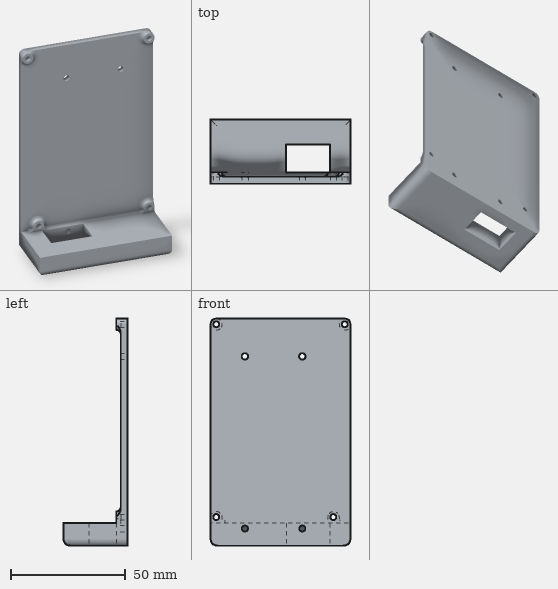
import cadquery as cq
import math

width = 61.0
height = 99.0
plate_thickness = 3.0
foot_depth = 28.0
foot_height = 10.0
top_corner_radius = 2.5
bottom_corner_radius = 3.0
foot_back_edge_radius = 3.0
foot_seam_radius = 1.0

standoff_top_y = 5.0
standoff_radius = 2.5
standoff_flare = standoff_top_y - plate_thickness
board_hole_diameter = 2.5
left_x = standoff_radius
upper_right_x = width - standoff_radius
lower_right_x = 53.5
upper_z = height - standoff_radius
lower_z = foot_height + standoff_radius
upper_standoffs = [(left_x, upper_z), (upper_right_x, upper_z)]
lower_standoffs = [(left_x, lower_z), (lower_right_x, lower_z)]

mount_hole_diameter = 2.7
mount_hole_x = (15.0, 40.0)
mount_hole_z = (7.5, 82.5)
mount_hole_depth = standoff_top_y

window_x = (33.0, 52.0)
window_y = (standoff_top_y, 17.0)


def block(x_range, y_range, z_range):
    """Box spanning the given ranges."""
    size = [end - start for start, end in (x_range, y_range, z_range)]
    corner = (x_range[0], y_range[0], z_range[0])
    return cq.Workplane("XY").box(*size, centered=False).translate(corner)


def rod(x, z, radius, y_start, y_end):
    """Cylinder along Y."""
    axis_start = cq.Vector(x, y_start, z)
    solid = cq.Solid.makeCylinder(radius, y_end - y_start, axis_start, cq.Vector(0, 1, 0))
    return cq.Workplane(obj=solid)


def make_envelope():
    """Full-depth block with the rounded front outline, used to trim everything."""
    envelope = block((0, width), (0, foot_depth), (0, height))
    envelope = envelope.edges("|Y and >Z").fillet(top_corner_radius)
    return envelope.edges("|Y and <Z").fillet(bottom_corner_radius)


def make_foot():
    """Foot with a rounded lower back edge."""
    foot = block((0, width), (0, foot_depth), (0, foot_height))
    return foot.edges(">Y and <Z").fillet(foot_back_edge_radius)


def make_standoff(x, z):
    """Round post that flares into the plate with a concave quarter circle."""
    flare_radius = standoff_radius + standoff_flare
    arc_offset = standoff_flare * (1 - math.cos(math.radians(45)))
    profile = (
        cq.Workplane("XY")
        .moveTo(0, 0)
        .lineTo(0, standoff_top_y)
        .lineTo(standoff_radius, standoff_top_y)
        .threePointArc(
            (standoff_radius + arc_offset, plate_thickness + arc_offset),
            (flare_radius, plate_thickness),
        )
        .lineTo(flare_radius, 0)
        .close()
    )
    return profile.revolve(360, (0, 0, 0), (0, 1, 0)).translate((x, 0, z))


def make_standoff_base(x):
    """Web joining a lower standoff to the foot, with concave rounds at its sides."""
    foot_round = standoff_flare
    y_range = (0, standoff_top_y)
    reach = standoff_radius + foot_round
    web = block((x - reach, x + reach), y_range, (0, foot_height + foot_round))
    for side in (-1, 1):
        scoop = rod(x + side * reach, foot_height + foot_round, foot_round, plate_thickness, standoff_top_y)
        web = web.cut(scoop.edges("<Y").fillet(foot_seam_radius))
    return web.union(block((x - standoff_radius, x + standoff_radius), y_range, (0, lower_z)))


def make_foot_seam():
    """Concave round along the seam of plate and foot, between the lower standoffs."""
    reach = standoff_radius + standoff_flare
    x_range = (left_x + reach, lower_right_x - reach)
    y_end = plate_thickness + foot_seam_radius
    z_end = foot_height + foot_seam_radius
    strip = block(x_range, (0, y_end), (0, z_end))
    groove = cq.Solid.makeCylinder(
        foot_seam_radius,
        x_range[1] - x_range[0],
        cq.Vector(x_range[0], y_end, z_end),
        cq.Vector(1, 0, 0),
    )
    return strip.cut(cq.Workplane(obj=groove))


def make_body():
    """Plate, foot and standoffs trimmed to the rounded outline."""
    body = block((0, width), (0, plate_thickness), (0, height)).union(make_foot())
    body = body.union(make_foot_seam())
    for x, z in upper_standoffs + lower_standoffs:
        body = body.union(make_standoff(x, z))
    for x, _ in lower_standoffs:
        body = body.union(make_standoff_base(x))
    return body.intersect(make_envelope())


def cut_openings(body):
    """Board holes, mounting holes and the window in the foot."""
    for x, z in upper_standoffs + lower_standoffs:
        body = body.cut(rod(x, z, board_hole_diameter / 2, 0, standoff_top_y))
    for x in mount_hole_x:
        for z in mount_hole_z:
            body = body.cut(rod(x, z, mount_hole_diameter / 2, 0, mount_hole_depth))
    return body.cut(block(window_x, window_y, (0, foot_height)))


result = cut_openings(make_body())